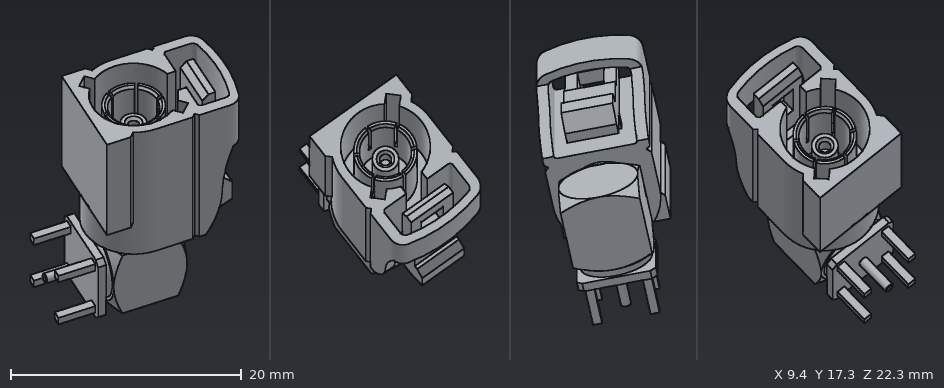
import cadquery as cq
import math


total_height = 22.3
elbow_size = 7.0
housing_bottom = 7.58
front_block_bottom = 11.37
strap_bottom = 17.19

half_width = 4.7
housing_rear = 8.8
housing_height = total_height - housing_bottom
rear_arc_radius = 14.27
rear_corner_radius = 1.34
side_notch_depth = 0.33
side_notch_rear = 4.1
side_notch_tip = 3.81
side_notch_front = 3.45
waist_notch_depth = 0.45

sweep_start = (7.38, strap_bottom)
sweep_upper_middle = (6.6, 14.71)
sweep_inflection = (6.29, 12.48)
sweep_lower_middle = (5.9, 9.92)
sweep_end = (4.75, housing_bottom)

window_half_width = 3.68
window_front = 4.52
strap_thickness = 0.8
window_rear_corner_radius = 0.55
window_front_corner_radius = 0.3

latch_width = 4.55
arm_front = 5.5
arm_rear = 6.75
arm_top = 21.85
arm_bevel = 0.58
arm_opening_bottom = 15.67
arm_opening_width = 2.36
arm_opening_top = 19.88
latch_rear = 7.29
latch_rear_bevel_bottom = 15.3
latch_grip_front = 5.77
latch_grip_rear = 8.35
latch_grip_top = 11.1
latch_grip_top_bevel = 0.74
latch_grip_toe_rear = 6.66
latch_grip_toe_top = 8.31
latch_web_bottom = front_block_bottom
latch_web_top = 12.48

bore_radius = 3.88
bore_floor = 13.37
bore_depth = total_height - bore_floor
key_width = 1.3
key_angle = 45.0
key_reach = 4.8
latch_slot_width = 2.23
sleeve_diameter = 5.5
sleeve_inner_diameter = 4.5
sleeve_mouth_diameter = 5.0
sleeve_top = 21.0
sleeve_slot_width = 0.27
sleeve_slot_depth = 4.9
sleeve_slot_count = 6
first_sleeve_slot_angle = 30.0
contact_diameter = 2.3
contact_top = 18.9
contact_mouth_diameter = 1.55
contact_hole_diameter = 1.03
contact_hole_depth = 1.78

neck_diameter = 6.89
elbow_chamfer_angle = 30.0
collar_diameter = 6.35
plate_rear = -4.24
plate_front = -5.0
plate_corner_chamfer = 0.5
pin_end = -8.51
pin_pitch = 5.08
ground_pin_width = 0.8
signal_pin_diameter = 0.91
signal_pin_chamfer = 0.1

elbow_half = elbow_size / 2


def disc(diameter, bottom, top):
    """Upright cylinder on the coax axis."""
    return cq.Workplane("XY").workplane(offset=bottom).circle(diameter / 2).extrude(top - bottom)


def slab(y_front, y_rear, outline):
    """Extrude an outline, drawn in X and Z about the elbow centre, from y_rear forward to y_front."""
    plane = cq.Workplane("XZ", origin=(0, y_rear, elbow_half))
    return outline(plane).extrude(y_rear - y_front)


def rear_arc_y(x, radius):
    """Y of the rear arc of the given radius, concentric with the outside of the strap."""
    return housing_rear - rear_arc_radius + math.sqrt(radius**2 - x**2)


def make_housing_block():
    waist_x = half_width - waist_notch_depth
    waist_y = -math.sqrt(half_width**2 - waist_x**2)
    bow_angle = math.atan2(waist_y, waist_x) / 2
    bow_middle = (half_width * math.cos(bow_angle), half_width * math.sin(bow_angle))
    notch_x = half_width - side_notch_depth
    rear_y = rear_arc_y(half_width, rear_arc_radius)
    outline = (
        cq.Workplane("XY")
        .workplane(offset=housing_bottom)
        .moveTo(-half_width, -half_width)
        .lineTo(half_width, -half_width)
        .lineTo(half_width, waist_y - waist_notch_depth)
        .lineTo(waist_x, waist_y)
        .threePointArc(bow_middle, (half_width, 0))
        .lineTo(half_width, side_notch_front)
        .lineTo(notch_x, side_notch_tip)
        .lineTo(half_width, side_notch_rear)
        .lineTo(half_width, rear_y)
        .threePointArc((0, housing_rear), (-half_width, rear_y))
        .lineTo(-half_width, side_notch_rear)
        .lineTo(-notch_x, side_notch_tip)
        .lineTo(-half_width, side_notch_front)
        .lineTo(-half_width, 0)
        .threePointArc((-bow_middle[0], bow_middle[1]), (-waist_x, waist_y))
        .lineTo(-half_width, waist_y - waist_notch_depth)
        .close()
    )
    block = outline.extrude(housing_height)
    block = block.edges("|Z").edges(">Y").fillet(rear_corner_radius)

    gap_height = front_block_bottom - housing_bottom
    front_gap = cq.Workplane("XY").box(
        2 * half_width, half_width + waist_y, gap_height, centered=(True, False, False)
    ).translate((0, -half_width, housing_bottom))
    return block.cut(front_gap).union(disc(2 * half_width, housing_bottom, front_block_bottom))


def make_latch_window():
    inner_radius = rear_arc_radius - strap_thickness
    rear_y = rear_arc_y(window_half_width, inner_radius)
    window = (
        cq.Workplane("XY")
        .workplane(offset=housing_bottom)
        .moveTo(-window_half_width, window_front)
        .lineTo(window_half_width, window_front)
        .lineTo(window_half_width, rear_y)
        .threePointArc((0, housing_rear - strap_thickness), (-window_half_width, rear_y))
        .close()
        .extrude(housing_height)
    )
    window = window.edges("|Z").edges("<Y").fillet(window_front_corner_radius)
    return window.edges("|Z").edges(">Y").fillet(window_rear_corner_radius)


def make_rear_cutaway():
    """S-shaped sweep that removes the rear walls below the strap."""
    beyond = 1.1 * housing_rear
    return (
        cq.Workplane("YZ")
        .moveTo(beyond, strap_bottom)
        .lineTo(*sweep_start)
        .threePointArc(sweep_upper_middle, sweep_inflection)
        .threePointArc(sweep_lower_middle, sweep_end)
        .lineTo(beyond, housing_bottom)
        .close()
        .extrude(half_width, both=True)
    )


def make_bore():
    bore = disc(2 * bore_radius, bore_floor, total_height)
    keyway = cq.Workplane("XY").workplane(offset=bore_floor).rect(2 * key_reach, key_width).extrude(bore_depth)
    latch_slot = cq.Workplane("XY").box(
        latch_slot_width, window_front, bore_depth, centered=(True, False, False)
    ).translate((0, 0, bore_floor))
    return bore.union(keyway.rotate((0, 0, 0), (0, 0, 1), key_angle)).union(latch_slot)


def make_latch():
    profile = [
        (window_front, latch_web_bottom),
        (latch_grip_front, latch_web_bottom),
        (latch_grip_front, housing_bottom),
        (latch_grip_toe_rear, housing_bottom),
        (latch_grip_rear, latch_grip_toe_top),
        (latch_grip_rear, latch_grip_top - latch_grip_top_bevel),
        (latch_grip_rear - latch_grip_top_bevel, latch_grip_top),
        (latch_rear, latch_grip_top),
        (latch_rear, latch_rear_bevel_bottom),
        (arm_rear, arm_opening_bottom),
        (arm_rear, arm_top),
        (arm_front + arm_bevel, arm_top),
        (arm_front, arm_top - arm_bevel),
        (arm_front, latch_web_top),
        (window_front, latch_web_top),
    ]
    latch = cq.Workplane("YZ").polyline(profile).close().extrude(latch_width / 2, both=True)
    opening_height = arm_opening_top - arm_opening_bottom
    opening = cq.Workplane("XY").box(
        arm_opening_width, arm_rear - arm_front, opening_height, centered=(True, False, False)
    ).translate((0, arm_front, arm_opening_bottom))
    return latch.cut(opening)


def make_sleeve():
    """Slotted outer contact with a bevelled mouth."""
    mouth_bevel = (sleeve_mouth_diameter - sleeve_inner_diameter) / 2
    sleeve = disc(sleeve_diameter, bore_floor, sleeve_top)
    sleeve = sleeve.cut(disc(sleeve_inner_diameter, bore_floor, sleeve_top))
    sleeve = sleeve.faces(">Z").edges("%CIRCLE").edges(cq.selectors.RadiusNthSelector(0)).chamfer(mouth_bevel)
    for index in range(sleeve_slot_count):
        slot = cq.Workplane("XY").box(
            sleeve_diameter, sleeve_slot_width, sleeve_slot_depth, centered=(False, True, False)
        ).translate((0, 0, sleeve_top - sleeve_slot_depth))
        angle = first_sleeve_slot_angle + index * 360 / sleeve_slot_count
        sleeve = sleeve.cut(slot.rotate((0, 0, 0), (0, 0, 1), angle))
    return sleeve


def make_contact():
    """Inner contact with a countersunk blind hole."""
    countersink = (contact_mouth_diameter - contact_hole_diameter) / 2
    return (
        disc(contact_diameter, bore_floor, contact_top)
        .faces(">Z")
        .workplane()
        .hole(contact_hole_diameter, contact_hole_depth)
        .faces(">Z")
        .edges(cq.selectors.RadiusNthSelector(0))
        .chamfer(countersink)
    )


def make_elbow():
    """Cube whose front and rear corners are turned down conically about the Y axis."""
    corner_radius = elbow_half * math.sqrt(2)
    chamfer_depth = (corner_radius - elbow_half) * math.tan(math.radians(elbow_chamfer_angle))
    cube = slab(-elbow_half, elbow_half, lambda plane: plane.rect(elbow_size, elbow_size))
    envelope = (
        cq.Workplane("XY")
        .polyline([
            (0, -elbow_half),
            (elbow_half, -elbow_half),
            (corner_radius, chamfer_depth - elbow_half),
            (corner_radius, elbow_half - chamfer_depth),
            (elbow_half, elbow_half),
            (0, elbow_half),
        ])
        .close()
        .revolve(360, (0, 0, 0), (0, 1, 0))
        .translate((0, 0, elbow_half))
    )
    return cube.intersect(envelope).union(disc(neck_diameter, elbow_half, housing_bottom))


def make_mount():
    collar = slab(plate_rear, -elbow_half, lambda plane: plane.circle(collar_diameter / 2))
    plate = slab(plate_front, plate_rear, lambda plane: plane.rect(elbow_size, elbow_size))
    plate = plate.edges("|Y").chamfer(plate_corner_chamfer)
    ground_pins = slab(pin_end, plate_front, lambda plane: plane.rarray(pin_pitch, pin_pitch, 2, 2).rect(
        ground_pin_width, ground_pin_width
    ))
    signal_pin = slab(pin_end, plate_front, lambda plane: plane.circle(signal_pin_diameter / 2))
    signal_pin = signal_pin.faces("<Y").chamfer(signal_pin_chamfer)
    return collar.union(plate).union(ground_pins).union(signal_pin)


housing = make_housing_block().cut(make_latch_window()).cut(make_rear_cutaway()).cut(make_bore())
result = housing.union(make_latch()).union(make_sleeve()).union(make_contact())
result = result.union(make_elbow()).union(make_mount())